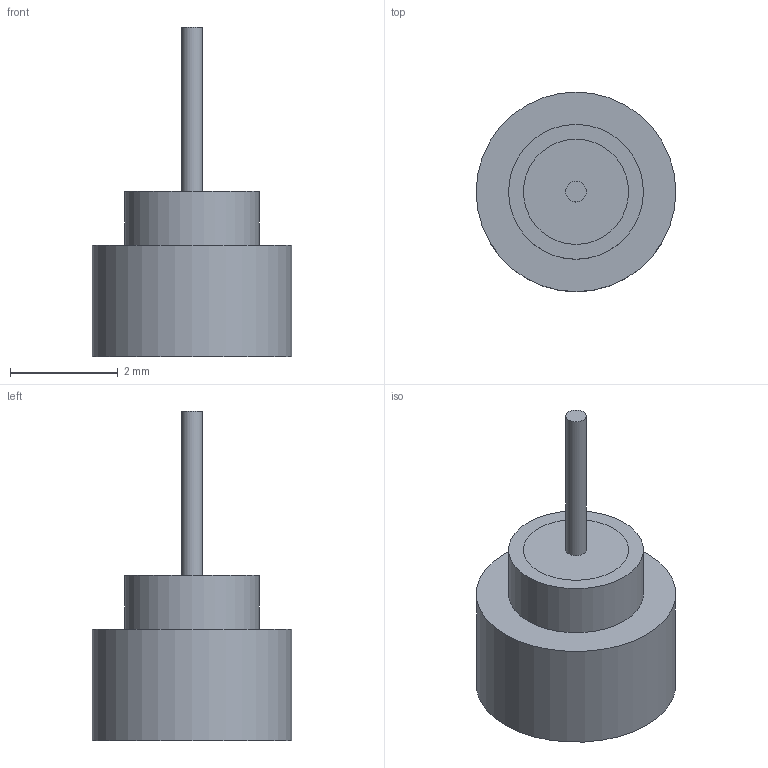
import cadquery as cq

TOTAL_HEIGHT = 6.1
BASE_DIAMETER = 3.7
BASE_HEIGHT = 2.06
COLLAR_DIAMETER = 2.5
COLLAR_HEIGHT = 1.0
BEAD_DIAMETER = 1.95
PIN_DIAMETER = 0.38

COLLAR_TOP = BASE_HEIGHT + COLLAR_HEIGHT


def cylinder(diameter, bottom, top):
    """Solid cylinder on the Z axis between two heights."""
    return cq.Workplane("XY").workplane(offset=bottom).circle(diameter / 2).extrude(top - bottom)


def make_shell():
    """Stepped body: wide base and narrower collar, with a pocket in the collar for the bead."""
    base = cylinder(BASE_DIAMETER, 0, BASE_HEIGHT)
    collar = cylinder(COLLAR_DIAMETER, BASE_HEIGHT, COLLAR_TOP)
    pocket = cylinder(BEAD_DIAMETER, BASE_HEIGHT, COLLAR_TOP)
    return base.union(collar).cut(pocket)


def make_bead_and_pin():
    """Bead that fills the collar flush with its rim, carrying the central pin."""
    bead = cylinder(BEAD_DIAMETER, BASE_HEIGHT, COLLAR_TOP)
    pin = cylinder(PIN_DIAMETER, COLLAR_TOP, TOTAL_HEIGHT)
    return bead.union(pin)


result = make_shell().union(make_bead_and_pin(), clean=False)